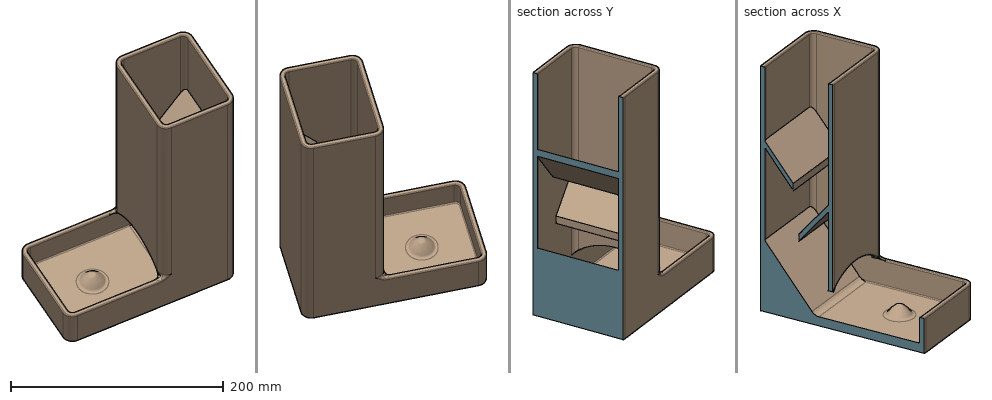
import cadquery as cq
import math

WIDTH = 100.0
LENGTH = 180.0
HEIGHT = 257.0
TOWER_DEPTH = 80.0
TRAY_HEIGHT = 37.0
WALL = 5.0
FLOOR = 10.0
CORNER_RADIUS = 10.0
NECK_RADIUS = 5.0
EDGE_RADIUS = 1.0

MARGIN = 1.0

MOUTH_RISE = 18.0

SLOPE = math.radians(50.0)
RAMP_FOOT_Y = 30.0
RAMP_BEND_RADIUS = 10.0
BAFFLE_THICKNESS = 5.0
REAR_BAFFLE_TOP = 180.0
REAR_BAFFLE_TIP_Y = 53.6
FRONT_BAFFLE_TOP = 130.0
FRONT_BAFFLE_TIP_Y = 47.9

BUMP_Y = -37.5
BUMP_DIAMETER = 30.8
BUMP_HEIGHT = 11.0
BUMP_FLANK = (5.6, 8.6)
BUMP_SHOULDER = (11.0, 2.9)

REAR_Y = LENGTH / 2
TOWER_FRONT_Y = REAR_Y - TOWER_DEPTH
TOWER_Y = REAR_Y - TOWER_DEPTH / 2
INNER_WIDTH = WIDTH - 2 * WALL
INNER_RADIUS = CORNER_RADIUS - WALL
INNER_REAR_Y = REAR_Y - WALL


def rounded_block(width, depth, radius, center_y, bottom, top):
    """Upright block with rounded vertical edges."""
    block = cq.Workplane("XY").box(width, depth, top - bottom, centered=(True, True, False))
    return block.edges("|Z").fillet(radius).translate((0, center_y, bottom))


def base_block():
    return rounded_block(WIDTH, LENGTH, CORNER_RADIUS, 0, 0, TRAY_HEIGHT)


def tower_block():
    return rounded_block(WIDTH, TOWER_DEPTH, CORNER_RADIUS, TOWER_Y, 0, HEIGHT)


def mouth_opening():
    """Passage with an arched top, from the tower's middle out past the front of the tray."""
    half = INNER_WIDTH / 2
    return (
        cq.Workplane("XZ", origin=(0, TOWER_Y, 0))
        .moveTo(-half, TRAY_HEIGHT)
        .threePointArc((0, TRAY_HEIGHT + MOUTH_RISE), (half, TRAY_HEIGHT))
        .lineTo(half, FLOOR)
        .lineTo(-half, FLOOR)
        .close()
        .extrude(LENGTH)
    )


def open_tray():
    """Base with its full-length pocket; rims and floor edges are rounded."""
    pocket = rounded_block(INNER_WIDTH, LENGTH - 2 * WALL, INNER_RADIUS, 0, FLOOR, TRAY_HEIGHT)
    tray = base_block().cut(pocket)
    tray = tray.faces(">Z").edges().fillet(EDGE_RADIUS)
    floor_face = cq.selectors.NearestToPointSelector((0, 0, FLOOR))
    return tray.faces(floor_face).edges().fillet(EDGE_RADIUS)


def hollow_tower():
    """Tower walls with the mouth cut through the front; top rims and arch are rounded."""
    shaft = rounded_block(
        INNER_WIDTH, TOWER_DEPTH - 2 * WALL, INNER_RADIUS, TOWER_Y, FLOOR, HEIGHT
    )
    tower = tower_block().cut(shaft).cut(mouth_opening())
    tower = tower.faces(">Z").edges().fillet(EDGE_RADIUS)
    arch_edges = cq.selectors.BoxSelector(
        (-INNER_WIDTH / 2, TOWER_FRONT_Y - MARGIN, TRAY_HEIGHT + MARGIN),
        (INNER_WIDTH / 2, TOWER_FRONT_Y + WALL / 2, TRAY_HEIGHT + MOUTH_RISE + MARGIN),
    )
    return tower.edges(arch_edges).fillet(EDGE_RADIUS)


def necks():
    """Concave rounds where the tower's front corners rise from the tray rim."""
    joint_edges = cq.selectors.BoxSelector(
        (-WIDTH / 2, TOWER_FRONT_Y - MARGIN, TRAY_HEIGHT - MARGIN),
        (WIDTH / 2, TOWER_FRONT_Y + CORNER_RADIUS - MARGIN, TRAY_HEIGHT + MARGIN),
    )
    rim_edges = cq.selectors.BoxSelector(
        (-WIDTH / 2 - MARGIN, -LENGTH / 2 - MARGIN, TRAY_HEIGHT - MARGIN),
        (WIDTH / 2 + MARGIN, TOWER_FRONT_Y - MARGIN, TRAY_HEIGHT + MARGIN),
    )
    joined = base_block().union(tower_block()).edges(joint_edges).fillet(NECK_RADIUS)
    joined = joined.edges(rim_edges).fillet(EDGE_RADIUS)
    depth = NECK_RADIUS + CORNER_RADIUS
    band = cq.Workplane("XY").box(WIDTH, depth, 2 * NECK_RADIUS + MARGIN).translate(
        (0, TOWER_FRONT_Y - NECK_RADIUS + depth / 2, TRAY_HEIGHT)
    )
    return joined.intersect(band).cut(tower_block()).cut(mouth_opening())


def ramp():
    """Slope from the rear wall down to the floor, with a concave bend at its foot."""
    tangent = RAMP_BEND_RADIUS * math.tan(SLOPE / 2)
    bend_start = RAMP_FOOT_Y - tangent
    bend_middle = (
        bend_start + RAMP_BEND_RADIUS * math.sin(SLOPE / 2),
        FLOOR + RAMP_BEND_RADIUS * (1 - math.cos(SLOPE / 2)),
    )
    bend_end = (
        RAMP_FOOT_Y + tangent * math.cos(SLOPE),
        FLOOR + tangent * math.sin(SLOPE),
    )
    top = FLOOR + (INNER_REAR_Y - RAMP_FOOT_Y) * math.tan(SLOPE)
    return (
        cq.Workplane("YZ")
        .moveTo(bend_start, FLOOR)
        .threePointArc(bend_middle, bend_end)
        .lineTo(INNER_REAR_Y, top)
        .lineTo(INNER_REAR_Y, FLOOR)
        .close()
        .extrude(INNER_WIDTH / 2, both=True)
    )


def baffle(wall_y, tip_y, top):
    """Sloping plate from a tower wall down to a plumb-cut tip, as wide as the shaft."""
    tip = top - abs(tip_y - wall_y) * math.tan(SLOPE)
    drop = BAFFLE_THICKNESS / math.cos(SLOPE)
    return (
        cq.Workplane("YZ")
        .polyline([(wall_y, top), (tip_y, tip), (tip_y, tip - drop), (wall_y, top - drop)])
        .close()
        .extrude(INNER_WIDTH / 2, both=True)
    )


def bump():
    """Turned bump, level at its crown and flaring out level with the floor."""
    crown = (0, BUMP_HEIGHT)
    foot = (BUMP_DIAMETER / 2, 0)
    profile = (
        cq.Workplane("XZ", origin=(0, BUMP_Y, FLOOR))
        .moveTo(*crown)
        .spline([BUMP_FLANK, BUMP_SHOULDER, foot], tangents=[(1, 0), (1, 0)], includeCurrent=True)
        .lineTo(0, 0)
        .close()
    )
    return profile.revolve(360, (0, 0, 0), (0, 1, 0))


result = (
    open_tray()
    .union(hollow_tower())
    .union(necks())
    .union(ramp())
    .union(baffle(INNER_REAR_Y, REAR_BAFFLE_TIP_Y, REAR_BAFFLE_TOP))
    .union(baffle(TOWER_FRONT_Y + WALL, FRONT_BAFFLE_TIP_Y, FRONT_BAFFLE_TOP))
    .union(bump())
)